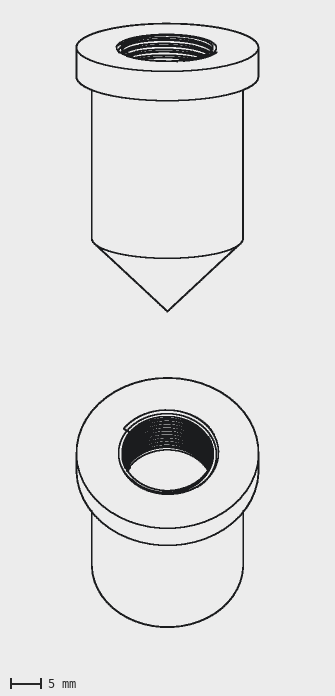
import cadquery as cq

height = 45.05
flange_radius = 15.0
flange_thickness = 5.0
body_radius = 12.5
tip_height = body_radius

hole_radius = 7.5
hole_depth = 10.0
drill_cone_depth = hole_radius

thread_turns = 10
thread_pitch = hole_depth / thread_turns
groove_root_radius = 8.7
groove_peak_radius = 8.05
groove_peak_rise = 0.85
groove_mouth_half_height = 0.15
bore_overlap = 0.23

flange_bottom = height - flange_thickness
hole_bottom = height - hole_depth


def make_body():
    """Flanged, pointed cylinder with the plain blind hole, turned about Z."""
    half_section = [
        (0, 0),
        (body_radius, tip_height),
        (body_radius, flange_bottom),
        (flange_radius, flange_bottom),
        (flange_radius, height),
        (hole_radius, height),
        (hole_radius, hole_bottom),
        (0, hole_bottom - drill_cone_depth),
    ]
    outline = cq.Workplane("XZ").polyline(half_section).close()
    return outline.revolve(360, (0, 0, 0), (0, 1, 0))


def make_thread_groove():
    """Undercut groove with a shallow sloping floor, swept up the hole wall."""
    mouth_radius = hole_radius - bore_overlap
    groove_section = [
        (mouth_radius, -groove_mouth_half_height),
        (groove_root_radius, 0),
        (groove_peak_radius, groove_peak_rise),
        (mouth_radius, groove_mouth_half_height),
    ]
    helix = cq.Wire.makeHelix(
        thread_pitch, hole_depth, hole_radius, center=cq.Vector(0, 0, hole_bottom)
    )
    section = cq.Workplane("XZ", origin=(0, 0, hole_bottom)).polyline(groove_section).close()
    return section.sweep(cq.Workplane(obj=helix), isFrenet=True)


result = make_body().cut(make_thread_groove())